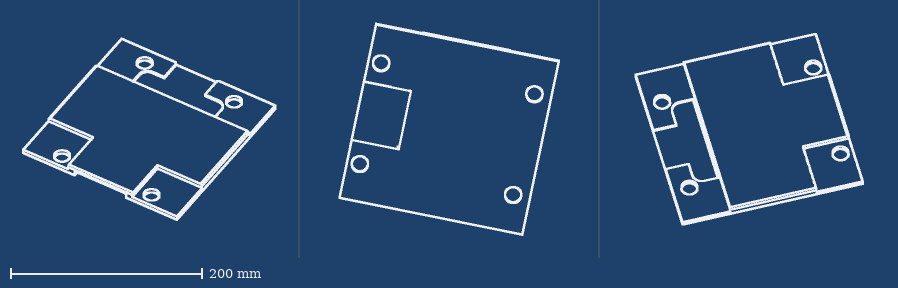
import cadquery as cq

LENGTH_X = 189.0
LENGTH_Y = 195.0
HEIGHT = 10.0
LEDGE_HEIGHT = 5.0
EDGE_CHAMFER = 2.0

TONGUE_WIDTH = 79.0
TONGUE_LENGTH = 50.0
REAR_LEDGE_LENGTH = 52.0

RECESS_DEPTH = 2.0
RECESS_LENGTH = 50.0
NECK_WIDTH = 50.0
NECK_LENGTH = 25.0
NECK_CENTRE_X = -1.5
HEAD_WIDTH = 101.0
HEAD_CENTRE_X = -0.5
HEAD_CORNER_RADIUS = 10.0
RECESS_MOUTH_RADIUS = 2.0

POCKET_WIDTH = 63.5
POCKET_CENTRE_X = 0.5
POCKET_LENGTH = TONGUE_LENGTH
POCKET_HEIGHT = 6.0
POCKET_FILLET = 2.0

HOLE_DIAMETER = 17.0
HOLE_SPACING_X = 110.0
FRONT_HOLE_INSET = 13.5
REAR_HOLE_INSET = 18.0

FRONT_Y = -LENGTH_Y / 2
REAR_Y = LENGTH_Y / 2


def block(width, length, height, centre_x, start_y, base_z):
    """Box centred on centre_x, running towards +Y from start_y and up from base_z."""
    return (
        cq.Workplane("XY")
        .box(width, length, height, centered=(True, False, False))
        .translate((centre_x, start_y, base_z))
    )


def make_plate():
    """Base plate carrying a raised, chamfered centre and front tongue."""
    base = block(LENGTH_X, LENGTH_Y, LEDGE_HEIGHT, 0, FRONT_Y, 0)
    raised_length = LENGTH_Y - REAR_LEDGE_LENGTH
    raised_height = HEIGHT - LEDGE_HEIGHT
    raised = block(LENGTH_X, raised_length, raised_height, 0, FRONT_Y, LEDGE_HEIGHT)
    raised = raised.faces(">Z").edges("<X or >X or <Y").chamfer(EDGE_CHAMFER)
    corner_width = (LENGTH_X - TONGUE_WIDTH) / 2
    for side in (-1, 1):
        corner_x = side * (LENGTH_X - corner_width) / 2
        raised = raised.cut(
            block(corner_width, TONGUE_LENGTH, raised_height, corner_x, FRONT_Y, LEDGE_HEIGHT)
        )
    return base.union(raised)


def cut_rear_recess(plate):
    """T-shaped recess opening through the rear edge, with a rounded mouth."""
    floor_z = LEDGE_HEIGHT - RECESS_DEPTH
    head_length = RECESS_LENGTH - NECK_LENGTH
    head = block(HEAD_WIDTH, head_length, RECESS_DEPTH, HEAD_CENTRE_X, REAR_Y - RECESS_LENGTH, floor_z)
    head = head.edges("|Z and >Y").fillet(HEAD_CORNER_RADIUS)
    neck = block(NECK_WIDTH, NECK_LENGTH, RECESS_DEPTH, NECK_CENTRE_X, REAR_Y - NECK_LENGTH, floor_z)
    plate = plate.cut(head).cut(neck)

    margin = 0.1
    mouth = cq.selectors.BoxSelector(
        (NECK_CENTRE_X - NECK_WIDTH / 2 - margin, REAR_Y - margin, floor_z - margin),
        (NECK_CENTRE_X + NECK_WIDTH / 2 + margin, REAR_Y + margin, LEDGE_HEIGHT - margin),
    )
    return plate.edges(mouth).fillet(RECESS_MOUTH_RADIUS)


def cut_front_pocket(plate):
    """Underside pocket with rounded edges between its ceiling and its walls."""
    pocket = block(POCKET_WIDTH, POCKET_LENGTH, POCKET_HEIGHT, POCKET_CENTRE_X, FRONT_Y, 0)
    pocket = pocket.faces(">Z").edges("<X or >X or >Y").fillet(POCKET_FILLET)
    return plate.cut(pocket)


def cut_holes(plate):
    """Four through holes, one near each corner."""
    half_spacing = HOLE_SPACING_X / 2
    front_hole_y = FRONT_Y + FRONT_HOLE_INSET
    rear_hole_y = REAR_Y - REAR_HOLE_INSET
    centres = [(x, y) for x in (-half_spacing, half_spacing) for y in (front_hole_y, rear_hole_y)]
    holes = cq.Workplane("XY").pushPoints(centres).circle(HOLE_DIAMETER / 2).extrude(HEIGHT)
    return plate.cut(holes)


result = cut_holes(cut_front_pocket(cut_rear_recess(make_plate())))